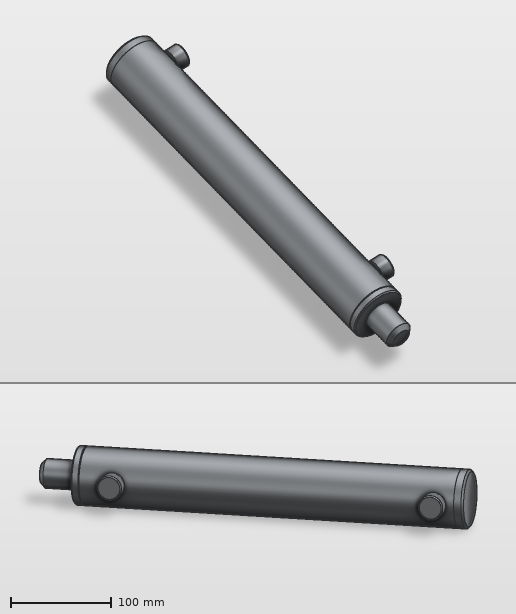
import cadquery as cq

total_length = 440.0
start_x = -total_length / 2
body_length = 403.0
cap_length = 9.5
gland_length = 8.5
barrel_length = body_length - cap_length - gland_length

barrel_diameter = 60.0
cap_chamfer = 2.0
gland_chamfer = 1.5
gland_seam_chamfer = 1.0

rod_diameter = 30.0
rod_chamfer = 5.0

port_diameter = 25.0
port_top_y = 75.0 - barrel_diameter / 2
port_length = 16.0
port_chamfer = 1.5
port_distances = (30.0, 360.0)

barrel_start_x = start_x + cap_length
gland_start_x = barrel_start_x + barrel_length


def axial_bar(diameter, length, bar_start_x):
    """Round bar along X starting at bar_start_x."""
    return cq.Workplane("YZ", origin=(bar_start_x, 0, 0)).circle(diameter / 2).extrude(length)


def make_base_cap():
    return axial_bar(barrel_diameter, cap_length, start_x).faces("<X").chamfer(cap_chamfer)


def make_barrel(ports):
    """Barrel with a shallow recess where each port sits."""
    barrel = axial_bar(barrel_diameter, barrel_length, barrel_start_x)
    for port in ports:
        barrel = barrel.cut(port)
    return barrel


def make_rod():
    """Rod that starts at the barrel end and passes through the gland."""
    rod_length = total_length - cap_length - barrel_length
    return axial_bar(rod_diameter, rod_length, gland_start_x).faces(">X").chamfer(rod_chamfer)


def make_gland():
    """End ring with a bore that fits the rod."""
    disc = (
        axial_bar(barrel_diameter, gland_length, gland_start_x)
        .faces(">X")
        .chamfer(gland_chamfer)
        .faces("<X")
        .chamfer(gland_seam_chamfer)
    )
    return disc.cut(axial_bar(rod_diameter, gland_length, gland_start_x))


def make_port(distance):
    """Round boss chamfered at both ends, its foot let into the barrel."""
    return (
        cq.Workplane("XZ", origin=(start_x + distance, port_top_y, 0))
        .circle(port_diameter / 2)
        .extrude(port_length)
        .faces("<Y or >Y")
        .chamfer(port_chamfer)
    )


base_cap = make_base_cap()
ports = [make_port(distance) for distance in port_distances]
barrel = make_barrel(ports)
gland = make_gland()
rod = make_rod()

result = cq.Compound.makeCompound(
    [base_cap.val(), barrel.val(), gland.val(), rod.val(), *[port.val() for port in ports]]
)